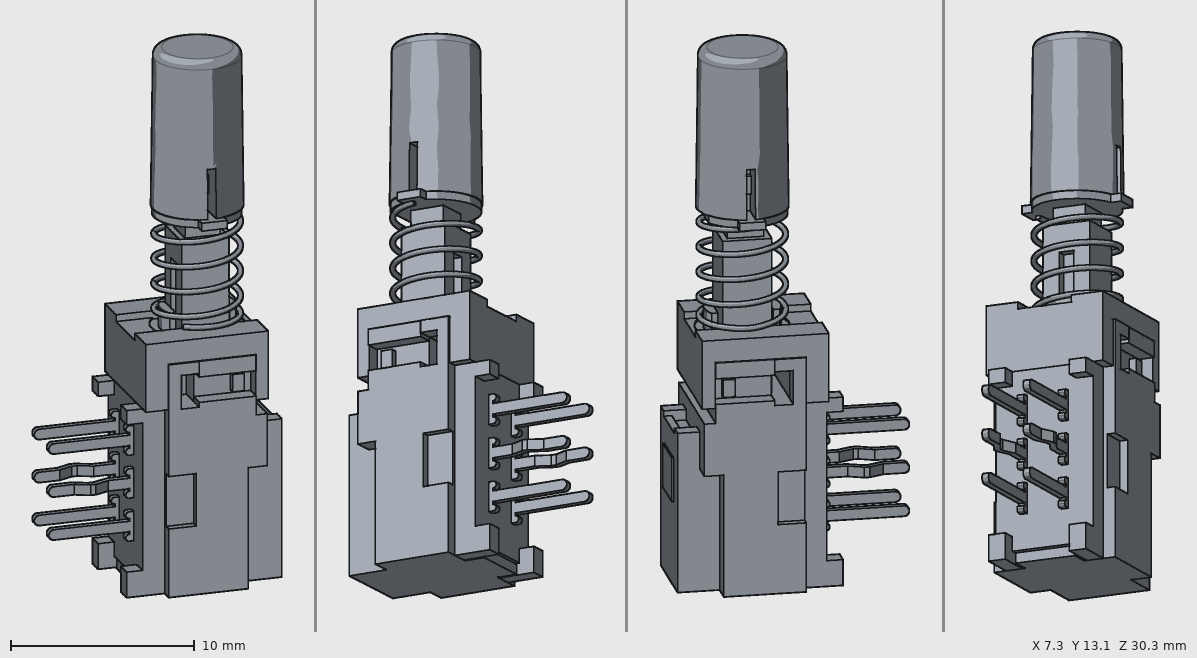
import cadquery as cq
import math


case_width = 7.3
case_half_width = case_width / 2
core_half_width = 2.95
wall_inner = 2.67
wall_front = -2.85
wall_rear_low = 1.73
wall_rear_mid = 2.82
arm_rear = 2.18
wall_step_z = 7.0
wall_shoulder_z = 10.0
arm_top_z = 13.45
body_half_width = 2.42
body_rear = 4.05
body_top_z = 9.15
rear_pocket_half_width = 1.5
rear_pocket_step_y = 3.6
rear_pocket_depths = (0.3, 0.6)
pad_half_width = 1.27
pad_height = 0.1
pad_bottom_z = 4.85
pad_top_z = 7.35
side_notch_rear = -1.27
side_notch_floor = 3.18
side_notch_bottom_z = 3.97
side_notch_top_z = 7.0
window_rear_bottom_z = 11.1
window_rear_top_z = 12.55
window_front_top_z = 12.75
window_split_y = -1.1
window_front = -2.12
strap_setback = 0.03
tongue_half_width = 1.8
tongue_height = 0.58
tongue_setback = 0.1

seat_z = 10.8
base_front = -4.12
foot_front = -5.03
foot_inner = 1.95
lower_foot_height = 1.48
upper_foot_height = 0.82
base_notch_height = 0.67
terminal_x = 1.25
terminal_heights = (3.55, 6.03, 8.5)
bent_terminal_z = terminal_heights[1]
terminal_thickness = 0.4
terminal_half_height = 0.3
terminal_end = -9.0
bend_offset = 0.35
bend_stations = (-5.57, -6.42, -6.72, -7.55)
collar_half_height = 0.85
collar_front = -4.35
prong_front = -4.57
prong_inner = 0.45
prong_fillet = 0.18

cover_width = 7.05
cover_half_width = cover_width / 2
cover_rear = 2.9
cover_top_z = 14.72
channel_half_width = 1.6
channel_depth = 0.4
spring_seat_radius = 2.6
spring_seat_depth = 0.1
post_radius = 2.12
post_half_width = 0.97
post_inner = 1.55
post_top_z = 15.42
nub_front = 1.0
nub_rear = 1.67
nub_bottom_z = 11.27
nub_top_z = 12.27
nub_height = 0.42

rod_width = 2.85
rod_depth = 2.73
rod_top_z = 19.65
neck_width = 1.95
neck_depth = 2.03
neck_top_z = 24.85
groove_width = 0.88
groove_depth = 0.58
groove_top_z = 18.08
barb_width = 0.48
barb_height = 0.3
barb_bottom_z = 22.23
barb_top_z = 23.25

washer_bottom_z = 20.72
washer_radius = 2.48
washer_flat_y = 2.12
ear_reach = 3.0
ear_width = 1.45
cap_bottom_z = 21.17
cap_top_z = 30.3
cap_bottom_radius = 2.55
cap_top_radius = 2.42
cap_fillet = 0.48
cap_slot_top_z = 24.05

wire_radius = 0.15
coil_radius = 2.35
flat_turns = 0.6
active_turns = 4
first_coil_z = 14.9
last_coil_z = 20.65
points_per_turn = 15
flat_end_angle = math.pi


def block(x_range, y_range, z_range):
    """Box between two limits along each axis."""
    limits = (x_range, y_range, z_range)
    size = [high - low for low, high in limits]
    low_corner = [low for low, high in limits]
    return cq.Workplane("XY").box(*size, centered=False).translate(tuple(low_corner))


def mid_block(half_width, y_range, z_range):
    """Box that is symmetric about the YZ plane."""
    return block((-half_width, half_width), y_range, z_range)


def both_sides(shape):
    """The shape together with its mirror image across the YZ plane."""
    return shape.union(shape.mirror("YZ"))


def centred_column(width, depth, bottom_z, top_z):
    """Rectangular column around the Z axis."""
    return mid_block(width / 2, (-depth / 2, depth / 2), (bottom_z, top_z))


def disc(radius, bottom_z, top_z):
    """Round slab around the Z axis."""
    return cq.Workplane("XY").workplane(offset=bottom_z).circle(radius).extrude(top_z - bottom_z)


def make_arm_window():
    """Opening through one case arm, in two steps along Y."""
    reach = (wall_inner, case_half_width)
    rear = block(reach, (window_split_y, arm_rear), (window_rear_bottom_z, window_rear_top_z))
    front = block(reach, (window_front, window_split_y), (seat_z, window_front_top_z))
    return rear.union(front)


def make_case_wall():
    """One side wall with its arm, window and front notch."""
    outline = [
        (wall_front, 0),
        (wall_rear_low, 0),
        (wall_rear_low, wall_step_z),
        (wall_rear_mid, wall_step_z),
        (wall_rear_mid, wall_shoulder_z),
        (arm_rear, wall_shoulder_z),
        (arm_rear, arm_top_z),
        (wall_front, arm_top_z),
    ]
    wall = (
        cq.Workplane("YZ").workplane(offset=wall_inner)
        .polyline(outline).close().extrude(case_half_width - wall_inner)
    )
    notch = block(
        (side_notch_floor, case_half_width),
        (wall_front, side_notch_rear),
        (side_notch_bottom_z, side_notch_top_z),
    )
    strap_relief = block(
        (case_half_width - strap_setback, case_half_width),
        (window_split_y, arm_rear),
        (window_rear_top_z, arm_top_z),
    )
    return wall.cut(make_arm_window()).cut(notch).cut(strap_relief)


def make_case():
    """Rear body with side walls, a top pocket, a rear pad and a tongue under the base."""
    core_low = mid_block(core_half_width, (wall_front, wall_rear_low), (0, wall_step_z))
    core_mid = mid_block(core_half_width, (wall_front, wall_rear_mid), (wall_step_z, wall_shoulder_z))
    core_top = mid_block(core_half_width, (wall_front, arm_rear), (wall_shoulder_z, seat_z))
    rear_body = mid_block(body_half_width, (wall_front, body_rear), (0, body_top_z))
    pad = mid_block(pad_half_width, (body_rear, body_rear + pad_height), (pad_bottom_z, pad_top_z))
    tongue = mid_block(
        tongue_half_width, (base_front + tongue_setback, wall_front), (0, tongue_height)
    )
    case = core_low.union(core_mid).union(core_top).union(rear_body).union(pad).union(tongue)
    case = case.union(both_sides(make_case_wall()))
    pocket_ranges = ((rear_pocket_step_y, body_rear), (wall_rear_mid, rear_pocket_step_y))
    for y_range, depth in zip(pocket_ranges, rear_pocket_depths):
        case = case.cut(
            mid_block(rear_pocket_half_width, y_range, (body_top_z - depth, body_top_z))
        )
    return case


def make_terminal_blade(height, bend):
    """Terminal on the +X side at one height, bent outwards by the given amount, with a round tip."""
    stations = [
        (base_front, 0),
        (bend_stations[0], 0),
        (bend_stations[1], bend),
        (bend_stations[2], bend),
        (bend_stations[3], 0),
        (terminal_end, 0),
    ]
    inner_x = terminal_x - terminal_thickness / 2
    outer_x = terminal_x + terminal_thickness / 2
    inner_edge = [(inner_x + shift, y) for y, shift in stations]
    outer_edge = [(outer_x + shift, y) for y, shift in reversed(stations)]
    strip = (
        cq.Workplane("XY").workplane(offset=height - terminal_half_height)
        .polyline(inner_edge + outer_edge).close().extrude(2 * terminal_half_height)
    )
    shoulder = terminal_end + terminal_half_height
    envelope = (
        cq.Workplane("YZ").workplane(offset=inner_x)
        .moveTo(base_front, height - terminal_half_height)
        .lineTo(shoulder, height - terminal_half_height)
        .threePointArc((terminal_end, height), (shoulder, height + terminal_half_height))
        .lineTo(base_front, height + terminal_half_height)
        .close().extrude(terminal_thickness + bend)
    )
    return strip.intersect(envelope)


def make_terminal_collar(height):
    """Fork-shaped root of a terminal on the +X side."""
    x_range = (terminal_x - terminal_thickness / 2, terminal_x + terminal_thickness / 2)
    collar = block(
        x_range,
        (collar_front, base_front),
        (height - collar_half_height, height + collar_half_height),
    )
    prong_ranges = (
        (height - collar_half_height, height - prong_inner),
        (height + prong_inner, height + collar_half_height),
    )
    for z_range in prong_ranges:
        prong = block(x_range, (prong_front, base_front), z_range)
        collar = collar.union(prong.faces("<Y").edges("|X").fillet(prong_fillet))
    return collar


def make_base():
    """Front plate with four feet and two rows of three terminals."""
    base = mid_block(core_half_width, (base_front, wall_front), (0, seat_z))
    base = base.cut(mid_block(foot_inner, (base_front, wall_front), (0, base_notch_height)))
    for z_range in ((0, lower_foot_height), (seat_z - upper_foot_height, seat_z)):
        foot = block((foot_inner, core_half_width), (foot_front, base_front), z_range)
        base = base.union(both_sides(foot))
    for height in terminal_heights:
        bend = bend_offset if height == bent_terminal_z else 0
        terminal = make_terminal_blade(height, bend).union(make_terminal_collar(height))
        base = base.union(both_sides(terminal))
    return base


def make_cover():
    """Top block that guides the plunger and is held by the case arms."""
    cover = mid_block(cover_half_width, (base_front, cover_rear), (seat_z, cover_top_z))

    channel_floor_z = cover_top_z - channel_depth
    cover = cover.cut(
        mid_block(channel_half_width, (base_front, cover_rear), (channel_floor_z, cover_top_z))
    )
    seat = disc(spring_seat_radius, channel_floor_z - spring_seat_depth, channel_floor_z)
    seat_strip = mid_block(
        channel_half_width,
        (-spring_seat_radius, spring_seat_radius),
        (channel_floor_z - spring_seat_depth, channel_floor_z),
    )
    cover = cover.cut(seat.intersect(seat_strip))

    post = disc(post_radius, seat_z, post_top_z)
    post = post.intersect(mid_block(post_half_width, (post_inner, post_radius), (seat_z, post_top_z)))
    cover = cover.union(post).union(post.mirror("XZ"))

    arm_recess = block(
        (wall_inner, cover_half_width), (wall_front, arm_rear), (seat_z, arm_top_z)
    )
    nub = block(
        (wall_inner, wall_inner + nub_height), (nub_front, nub_rear), (nub_bottom_z, nub_top_z)
    )
    cover = cover.cut(both_sides(arm_recess)).union(both_sides(nub))
    cover = cover.cut(
        mid_block(wall_inner, (window_front, window_split_y), (seat_z, window_front_top_z))
    )
    return cover.cut(centred_column(rod_width, rod_depth, seat_z, cover_top_z))


def make_barbs():
    """Latching barbs on the two X faces of the plunger neck."""
    return centred_column(neck_width + 2 * barb_height, barb_width, barb_bottom_z, barb_top_z)


def make_plunger():
    """Square rod with a front groove and a narrower barbed neck."""
    rod = centred_column(rod_width, rod_depth, seat_z, rod_top_z)
    groove = mid_block(
        groove_width / 2, (-rod_depth / 2, groove_depth - rod_depth / 2), (seat_z, groove_top_z)
    )
    neck = centred_column(neck_width, neck_depth, rod_top_z, neck_top_z)
    return rod.cut(groove).union(neck).union(make_barbs())


def make_washer():
    """Spring stop with a flat rear edge and two side ears."""
    washer = disc(washer_radius, washer_bottom_z, cap_bottom_z)
    washer = washer.intersect(
        mid_block(washer_radius, (-washer_radius, washer_flat_y), (washer_bottom_z, cap_bottom_z))
    )
    washer = washer.union(centred_column(2 * ear_reach, ear_width, washer_bottom_z, cap_bottom_z))
    return washer.cut(centred_column(neck_width, neck_depth, washer_bottom_z, cap_bottom_z))


def make_cap():
    """Slightly tapered round cap with a blind socket and two latching slots."""
    profile = [
        (0, cap_bottom_z),
        (cap_bottom_radius, cap_bottom_z),
        (cap_top_radius, cap_top_z),
        (0, cap_top_z),
    ]
    cap = cq.Workplane("XZ").polyline(profile).close().revolve(360, (0, 0), (0, 1))
    cap = cap.faces(">Z").edges().fillet(cap_fillet)
    socket = centred_column(neck_width, neck_depth, cap_bottom_z, neck_top_z)
    slots = centred_column(2 * cap_bottom_radius, barb_width, cap_bottom_z, cap_slot_top_z)
    return cap.cut(socket).cut(slots)


def make_spring():
    """Right-handed coil: a flat part turn, then evenly pitched turns, ground flat at the top."""
    total_points = round((flat_turns + active_turns) * points_per_turn) + 1
    path_points = []
    for index in range(total_points):
        turn = index / points_per_turn
        angle = flat_end_angle + 2 * math.pi * (turn - flat_turns)
        climb = max(0, turn - flat_turns) / active_turns
        path_points.append((
            coil_radius * math.cos(angle),
            coil_radius * math.sin(angle),
            first_coil_z + climb * (last_coil_z - first_coil_z),
        ))
    path = cq.Workplane("XY").spline(path_points)
    start_plane = cq.Plane(
        origin=path.val().startPoint(), xDir=(0, 0, 1), normal=path.val().tangentAt(0)
    )
    coil = cq.Workplane(start_plane).circle(wire_radius).sweep(path, isFrenet=True)
    return coil.cut(disc(2 * coil_radius, washer_bottom_z, cap_bottom_z))


case = make_case()
base = make_base()
cover = make_cover()
plunger = make_plunger()
washer = make_washer()
cap = make_cap()
spring = make_spring()

result = cq.Compound.makeCompound([
    case.val(),
    base.val(),
    cover.val(),
    plunger.val(),
    washer.val(),
    cap.val(),
    spring.val(),
])